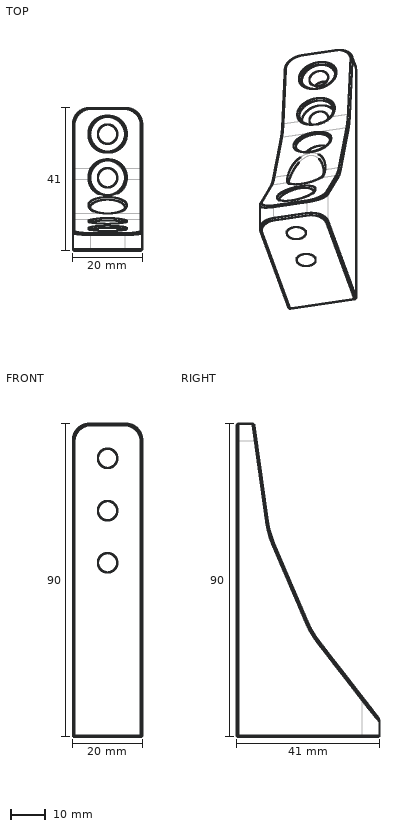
import cadquery as cq

width = 20.0
depth = 41.0
height = 90.0

top_thickness = 5.0
nose_height = 5.0
upper_corner = (9.45, 58.5)
lower_corner = (21.7, 30.0)
blend_radius = 25.0

corner_radius = 5.0
edge_chamfer = 0.5

hole_diameter = 5.5
counterbore_diameter = 10.0
seat_thickness = 5.0
rim_chamfer = 0.5
wall_hole_heights = (50.0, 65.0, 80.0)
base_hole_offsets = (21.0, 33.5)


def make_body():
    """Extrude the bracket profile, then round its corners and bevel its edges."""
    body = (
        cq.Workplane("YZ")
        .moveTo(0, 0)
        .lineTo(depth, 0)
        .lineTo(depth, nose_height)
        .lineTo(*lower_corner)
        .lineTo(*upper_corner)
        .lineTo(top_thickness, height)
        .lineTo(0, height)
        .close()
        .extrude(width / 2, both=True)
    )
    for corner in (lower_corner, upper_corner):
        body = body.edges(cq.selectors.NearestToPointSelector((0, *corner))).fillet(blend_radius)
    body = body.edges("|Y and >Z").fillet(corner_radius)
    body = body.edges("|Z and >Y").fillet(corner_radius)
    body = body.faces("<Y or <Z").edges().chamfer(edge_chamfer)
    slope_top_edge = cq.selectors.NearestToPointSelector((0, top_thickness, height))
    return body.edges(slope_top_edge).chamfer(edge_chamfer)


def make_screw_cutter():
    """Through hole along +Z from the origin, with a counterbore open beyond the seat."""
    hole = cq.Workplane("XY").circle(hole_diameter / 2).extrude(height)
    counterbore = (
        cq.Workplane("XY")
        .workplane(offset=seat_thickness)
        .circle(counterbore_diameter / 2)
        .extrude(height)
    )
    return hole.union(counterbore)


def cut_screw_holes(body):
    """Cut the wall holes along Y and the base holes along Z."""
    cutter = make_screw_cutter()
    wall_cutter = cutter.rotate((0, 0, 0), (1, 0, 0), -90)
    for hole_height in wall_hole_heights:
        body = body.cut(wall_cutter.translate((0, 0, hole_height)))
    for offset in base_hole_offsets:
        body = body.cut(cutter.translate((0, offset, 0)))
    return body


def bevel_counterbore_rims(body):
    """Bevel every counterbore mouth; mouths are the edges there that lie across the sloped surface."""
    tolerance = 0.045
    rim_edges = []
    for edge in body.edges().vals():
        box = edge.BoundingBox()
        inside_counterbore_width = max(-box.xmin, box.xmax) < counterbore_diameter / 2 + tolerance
        curved_across_slope = edge.geomType() != "LINE" and min(box.ylen, box.zlen) > tolerance
        if inside_counterbore_width and curved_across_slope:
            rim_edges.append(edge)
    return body.newObject(rim_edges).chamfer(rim_chamfer)


result = bevel_counterbore_rims(cut_screw_holes(make_body()))